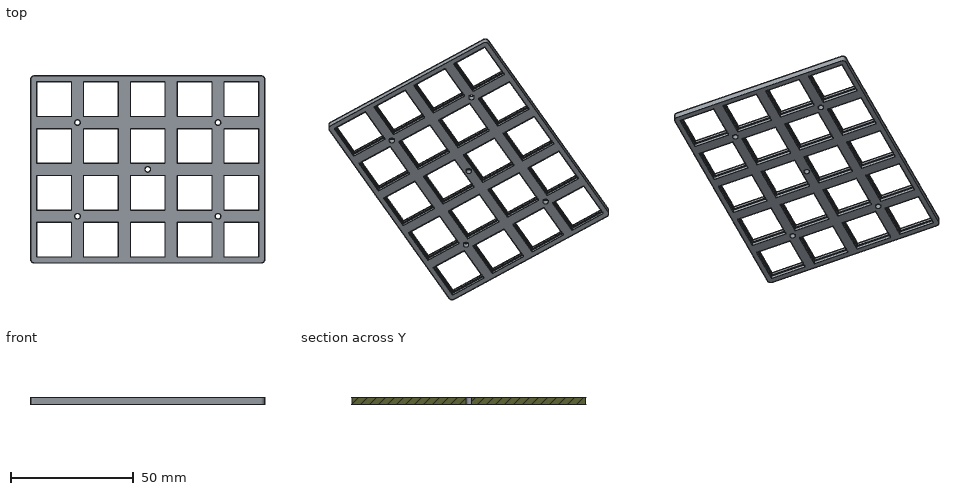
import cadquery as cq

columns = 5
rows = 4
key_pitch = 19.05

length = columns * key_pitch
width = rows * key_pitch
thickness = 3.0
corner_radius = 1.5

opening_size = 14.0
lip_thickness = 1.4
clip_undercut = 0.5

hole_diameter = 2.2


def make_plate():
    """Flat plate with rounded vertical corners and its underside on Z = 0."""
    plate = cq.Workplane("XY").box(length, width, thickness, centered=(True, True, False))
    return plate.edges("|Z").fillet(corner_radius)


def square_grid(size, height):
    """One square block per key cell, rising from Z = 0."""
    cells = cq.Workplane("XY").rarray(key_pitch, key_pitch, columns, rows)
    return cells.rect(size, size).extrude(height)


def screw_pins():
    """Pins for four holes one cell in from the plate corners, and one at the centre."""
    hole_x = length / 2 - key_pitch
    hole_y = width / 2 - key_pitch
    centres = [(x, y) for x in (-hole_x, hole_x) for y in (-hole_y, hole_y)]
    centres.append((0, 0))
    return cq.Workplane("XY").pushPoints(centres).circle(hole_diameter / 2).extrude(thickness)


key_openings = square_grid(opening_size, thickness)
clip_recesses = square_grid(opening_size + 2 * clip_undercut, thickness - lip_thickness)

result = make_plate().cut(key_openings).cut(clip_recesses).cut(screw_pins())